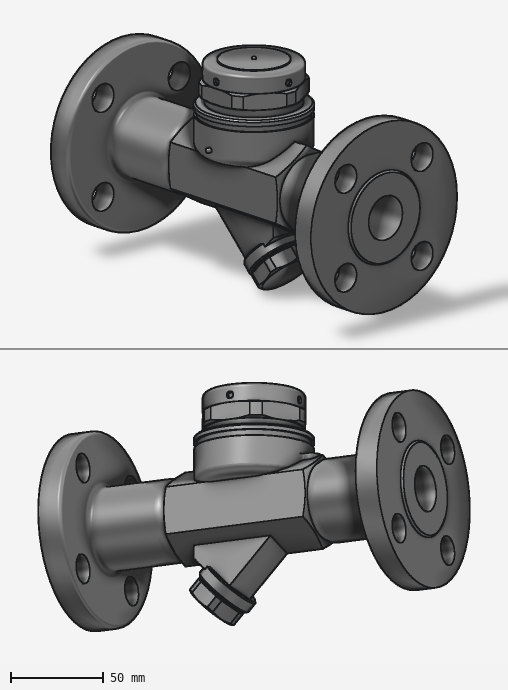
import cadquery as cq
import math


half_length = 105.0
flange_radius = 108.0 / 2
flange_thickness = 13.9
flange_rim_round = 2.0
face_height = 1.3
face_radius = 50.8 / 2
face_base_radius = 53.0 / 2
bolt_hole_dia = 16.0
bolt_circle_dia = 79.5
pipe_radius = 46.0 / 2
pipe_root_fillet = 3.2
pipe_end_radius = 21.5
pipe_end_round_length = 5.0
bore_dia = 25.0
bore_depth = 61.0

body_half_length = 43.9
body_across_flats = 45.5
body_end_chamfer = 1.9

cup_radius = 65.0 / 2
cup_bottom = 12.8
cup_bottom_round = 5.9
cup_top = 34.2
cup_groove_radius = 62.8 / 2
rim_bottom = 37.5
rim_top = 41.0
rim_radius = 65.5 / 2
rim_chamfer = 1.0
cup_pin_height = 20.8
cup_pin_length = 2.5
cup_pin_dia = 3.0
boss_radius = 5.2
boss_center_x = -35.0
boss_top = 26.9
boss_fillet = 1.7

neck_radius = 54.0 / 2
nut_bottom = 45.2
nut_top = 54.5
nut_across_flats = 55.0
nut_corner_dia = 60.0
nut_chamfer_height = 1.0
nut_chamfer_width = 2.3
cap_radius = 55.9 / 2
cap_top = 65.0
cap_round = 2.5
cap_hole_height = 58.5
cap_hole_dia = 3.0
cap_hole_mouth_dia = 4.0
cap_hole_depth = 1.0
plate_radius = 40.0 / 2
plate_height = 0.6
dome_radius = 1.3

branch_axis_x = -25.0
branch_angle = 45.0
branch_across_flats = 26.5
branch_length = 57.3
branch_web_end_x = 29.8
collar_start = 54.4
collar_end = 62.2
collar_radius = 34.0 / 2
collar_chamfer = 0.8
plug_neck_radius = 30.7 / 2
plug_start = 63.2
plug_end = 72.0
plug_across_flats = 30.7
plug_corner_dia = 33.4
plug_chamfer_height = 1.0
plug_chamfer_width = 1.7


def hexagon_diameter(across_flats):
    return across_flats / math.cos(math.radians(30))


def disc(radius, bottom, top):
    return cq.Workplane("XY").workplane(offset=bottom).circle(radius).extrude(top - bottom)


def round_cornered_nut(across_flats, corner_dia, height, chamfer_height, chamfer_width):
    """Hexagonal nut with flats facing Y, its corners turned to a cylinder and its top to a cone."""
    corner_radius = corner_dia / 2
    hexagon = cq.Workplane("XY").polygon(6, hexagon_diameter(across_flats)).extrude(height)
    turned = (
        cq.Workplane("XZ")
        .lineTo(corner_radius, 0)
        .lineTo(corner_radius, height - chamfer_height)
        .lineTo(corner_radius - chamfer_width, height)
        .lineTo(0, height)
        .close()
        .revolve(360, (0, 0, 0), (0, 1, 0))
    )
    return hexagon.intersect(turned)


def make_pipe_end():
    """Flange and pipe on the -X side, turned about the X axis."""
    flange_front = -half_length + face_height
    flange_back = flange_front + flange_thickness
    rim_start = flange_back - flange_rim_round
    rim_edge = flange_radius - flange_rim_round
    root_radius = pipe_radius + pipe_root_fillet
    round_start = -body_half_length - pipe_end_round_length
    profile = (
        cq.Workplane("XY")
        .moveTo(-half_length, 0)
        .lineTo(-half_length, face_radius)
        .lineTo(flange_front, face_base_radius)
        .lineTo(flange_front, flange_radius)
        .lineTo(rim_start, flange_radius)
        .tangentArcPoint((flange_back, rim_edge), relative=False)
        .lineTo(flange_back, root_radius)
        .tangentArcPoint((flange_back + pipe_root_fillet, pipe_radius), relative=False)
        .lineTo(round_start, pipe_radius)
        .tangentArcPoint((-body_half_length, pipe_end_radius), relative=False)
        .lineTo(-body_half_length, 0)
        .close()
    )
    pipe_end = profile.revolve(360, (0, 0, 0), (1, 0, 0))
    bolt_pitch = bolt_circle_dia / math.sqrt(2)
    bolt_holes = (
        cq.Workplane("YZ")
        .workplane(offset=-half_length)
        .rect(bolt_pitch, bolt_pitch, forConstruction=True)
        .vertices()
        .circle(bolt_hole_dia / 2)
        .extrude(face_height + flange_thickness)
    )
    return pipe_end.cut(bolt_holes)


def make_bore():
    """Blind flow bore from the -X end."""
    return cq.Workplane("YZ").workplane(offset=-half_length).circle(bore_dia / 2).extrude(bore_depth)


def make_body():
    """Hexagonal bar with both ends turned to a cone."""
    corner_radius = hexagon_diameter(body_across_flats) / 2
    hexagon = (
        cq.Workplane("YZ")
        .polygon(6, 2 * corner_radius)
        .extrude(body_half_length, both=True)
        .rotate((0, 0, 0), (1, 0, 0), 90)
    )
    envelope = (
        cq.Workplane("XY")
        .moveTo(-body_half_length, 0)
        .lineTo(-body_half_length, pipe_end_radius)
        .lineTo(-body_half_length + body_end_chamfer, corner_radius)
        .lineTo(body_half_length - body_end_chamfer, corner_radius)
        .lineTo(body_half_length, pipe_end_radius)
        .lineTo(body_half_length, 0)
        .close()
        .revolve(360, (0, 0, 0), (1, 0, 0))
    )
    return hexagon.intersect(envelope)


def make_cup():
    """Round-bottomed cup with its boss, groove, top rim and a round-ended pin on the -Y side."""
    cup = disc(cup_radius, cup_bottom, cup_top).faces("<Z").edges().fillet(cup_bottom_round)
    cup = cup.union(make_boss())
    groove = disc(cup_groove_radius, cup_top, rim_bottom)
    rim = disc(rim_radius, rim_bottom, rim_top).faces(">Z").edges().chamfer(rim_chamfer)
    pin_radius = cup_pin_dia / 2
    pin_tip = cup_radius + cup_pin_length - pin_radius
    pin_shank = cq.Workplane("XZ", origin=(0, 0, cup_pin_height)).circle(pin_radius).extrude(pin_tip)
    pin_dome = cq.Workplane("XY").sphere(pin_radius).translate((0, -pin_tip, cup_pin_height))
    pin = pin_shank.union(pin_dome)

    corner_x = -math.sqrt(cup_radius**2 - boss_radius**2)
    corner_selector = cq.selectors.BoxSelector(
        (corner_x - boss_fillet, -boss_radius - boss_fillet, cup_bottom),
        (corner_x + boss_fillet, boss_radius + boss_fillet, boss_top),
    )
    cup = cup.edges("|Z").edges(corner_selector).fillet(boss_fillet)
    return cup.union(groove).union(rim).union(pin)


def make_boss():
    """Round-ended boss on the -X side of the cup, flared where it meets the cup."""
    bottom = cup_bottom + cup_bottom_round
    height = boss_top - bottom
    round_end = cq.Workplane("XY", origin=(boss_center_x, 0, bottom)).circle(boss_radius).extrude(height)
    web = cq.Workplane("XY", origin=(boss_center_x / 2, 0, bottom)).rect(-boss_center_x, 2 * boss_radius)
    return round_end.union(web.extrude(height))


def make_bonnet():
    """Neck, nut chamfered on both sides, and cap with four tapered side holes and a top plate."""
    neck = disc(neck_radius, rim_top, nut_bottom)
    nut_height = nut_top - nut_bottom
    chamfered_nut = round_cornered_nut(
        nut_across_flats, nut_corner_dia, nut_height, nut_chamfer_height, nut_chamfer_width
    )
    nut = chamfered_nut.intersect(chamfered_nut.rotate((0, 0, nut_height / 2), (1, 0, nut_height / 2), 180))
    cap = disc(cap_radius, nut_top, cap_top).faces(">Z").edges().fillet(cap_round)
    for angle in (0, 90, 180, 270):
        hole = (
            cq.Workplane("YZ", origin=(cap_radius - cap_hole_depth, 0, cap_hole_height))
            .circle(cap_hole_dia / 2)
            .workplane(offset=cap_hole_depth)
            .circle(cap_hole_mouth_dia / 2)
            .loft()
        )
        cap = cap.cut(hole.rotate((0, 0, 0), (0, 0, 1), angle))
    plate_top = cap_top + plate_height
    plate = disc(plate_radius, cap_top, plate_top)
    dome = cq.Workplane("XY").sphere(dome_radius).translate((0, 0, plate_top))
    return neck.union(nut.translate((0, 0, nut_bottom))).union(cap).union(plate).union(dome)


def make_branch():
    """Hexagonal strainer branch with a web up to the body, closed by a collared plug."""
    hexagon = cq.Workplane("XY").polygon(6, hexagon_diameter(branch_across_flats)).extrude(branch_length)
    collar = disc(collar_radius, collar_start, collar_end).edges().chamfer(collar_chamfer)
    plug_neck = disc(plug_neck_radius, collar_end, plug_start)
    plug_height = plug_end - plug_start
    plug = round_cornered_nut(
        plug_across_flats, plug_corner_dia, plug_height, plug_chamfer_height, plug_chamfer_width
    )
    turned = hexagon.union(collar).union(plug_neck).union(plug.translate((0, 0, plug_start)))
    inclined = turned.rotate((0, 0, 0), (0, 1, 0), 90 + branch_angle).translate((branch_axis_x, 0, 0))

    reach = branch_length * math.cos(math.radians(branch_angle))
    end_x = branch_axis_x + reach
    end_z = -reach
    web_outline = [
        (branch_axis_x, 0),
        (branch_web_end_x, 0),
        (branch_web_end_x, end_z + (branch_web_end_x - end_x)),
        (end_x, end_z),
    ]
    web = cq.Workplane("XZ").polyline(web_outline).close().extrude(branch_across_flats / 2, both=True)
    return inclined.union(web)


pipe_end = make_pipe_end()
bore = make_bore()
result = make_body().union(make_cup()).union(make_bonnet()).union(make_branch())
result = result.union(pipe_end).union(pipe_end.mirror("YZ"))
result = result.cut(bore).cut(bore.mirror("YZ"))